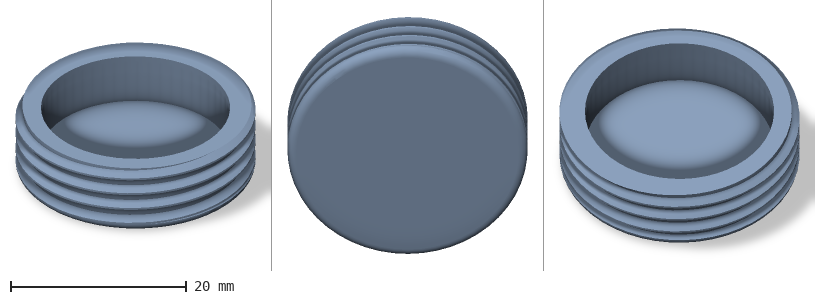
import cadquery as cq
import math

height = 8.0
major_diameter = 27.32
root_diameter = 25.53
major_radius = major_diameter / 2
root_radius = root_diameter / 2

pocket_diameter = 21.5
floor_thickness = 2.0

flange_height = 1.0

pitch = 2.0
flank_angle = 30.0
crest_width = pitch / 8
turns = 5
start_height = -pitch / 4
root_overlap = 0.1


def make_flange():
    """Disc at the bottom whose side is a quarter round over its full height."""
    flat_radius = major_radius - flange_height
    arc_offset = flange_height * math.sqrt(0.5)
    arc_middle = (flat_radius + arc_offset, flange_height - arc_offset)
    return (
        cq.Workplane("XZ")
        .lineTo(flat_radius, 0)
        .threePointArc(arc_middle, (major_radius, flange_height))
        .lineTo(0, flange_height)
        .close()
        .revolve(360, (0, 0), (0, 1))
    )


def make_core():
    """Plain cylinder that carries the thread, from flange to top face."""
    return (
        cq.Workplane("XY")
        .workplane(offset=flange_height)
        .circle(root_radius)
        .extrude(height - flange_height)
    )


def make_thread():
    """Trapezoidal ridge swept along a helix and trimmed between flange and top face."""
    inner_radius = root_radius - root_overlap
    crest_half = crest_width / 2
    base_half = crest_half + (major_radius - inner_radius) * math.tan(math.radians(flank_angle))
    helix = cq.Wire.makeHelix(pitch, turns * pitch, root_radius).translate(cq.Vector(0, 0, start_height))
    ridge = (
        cq.Workplane("XZ")
        .moveTo(inner_radius, start_height - base_half)
        .lineTo(major_radius, start_height - crest_half)
        .lineTo(major_radius, start_height + crest_half)
        .lineTo(inner_radius, start_height + base_half)
        .close()
        .sweep(cq.Workplane(obj=helix), isFrenet=True)
    )
    trim = (
        cq.Workplane("XY")
        .workplane(offset=flange_height)
        .circle(major_diameter)
        .extrude(height - flange_height)
    )
    return ridge.intersect(trim)


def make_pocket():
    """Cylinder removed from the top face down to the floor."""
    return (
        cq.Workplane("XY")
        .workplane(offset=floor_thickness)
        .circle(pocket_diameter / 2)
        .extrude(height - floor_thickness)
    )


result = make_core().union(make_thread()).union(make_flange()).cut(make_pocket())